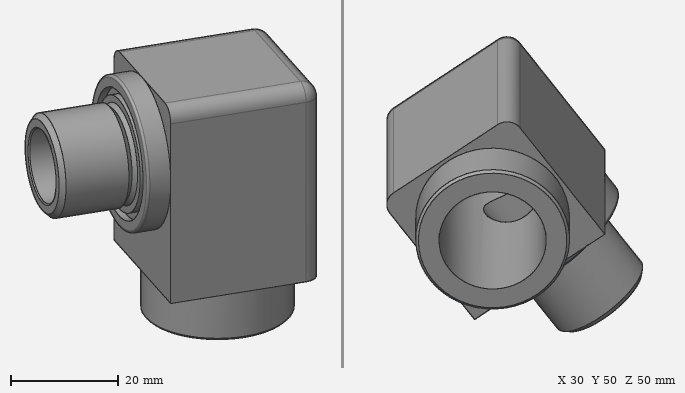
import cadquery as cq

width = 30.0
depth = 30.0
height = 40.0
edge_radius = 3.0
port_height = height - width / 2

collar_radius = width / 2
collar_length = 4.65
collar_edge_radius = 0.5
groove_outer_radius = 12.7
groove_inner_radius = 11.2
groove_depth = 1.5
groove_floor = collar_length - groove_depth
spigot_radius = 10.0
spigot_reach = 20.0
spigot_chamfer = 1.0
neck_radius = 9.0
neck_flare_radius = 9.8
neck_position = collar_length + neck_flare_radius - neck_radius
spigot_start = neck_position + spigot_radius - neck_radius

port_radius = 7.15
port_mouth_radius = 7.4
port_mouth_chamfer = port_mouth_radius - port_radius
socket_radius = 10.0
socket_roof = 35.0

skirt_radius = 14.35
skirt_length = 10.0
skirt_chamfer = 0.5


def make_body():
    """Block with rounded top and back edges; the front and bottom outlines stay sharp."""
    block = cq.Workplane("XY").box(width, depth, height, centered=(True, False, False))
    side_edges = block.edges("(|Y and >Z) or (|X and >Z and >Y) or (|Z and >Y)")
    return side_edges.fillet(edge_radius)


def revolve_about_port(profile):
    """Revolve (radius, distance in front of the body) points about the front port axis."""
    ring = cq.Workplane("XY").polyline(profile).close().revolve(360, (0, 0), (0, 1))
    return ring.rotate((0, 0, 0), (1, 0, 0), 180).translate((0, 0, port_height))


def make_port():
    """Collar with a groove in its face; 45 degree slopes form the neck behind the spigot."""
    collar_plane = cq.Workplane("XZ", origin=(0, 0, port_height))
    collar = collar_plane.circle(collar_radius).extrude(collar_length)
    collar = collar.faces("<Y").edges().fillet(collar_edge_radius)
    recess = collar_plane.workplane(offset=groove_floor).circle(groove_outer_radius)
    recess = recess.extrude(collar_length - groove_floor)
    spigot_profile = [
        (0, 0),
        (groove_inner_radius, 0),
        (groove_inner_radius, collar_length),
        (neck_flare_radius, collar_length),
        (neck_radius, neck_position),
        (spigot_radius, spigot_start),
        (spigot_radius, spigot_reach - spigot_chamfer),
        (spigot_radius - spigot_chamfer, spigot_reach),
        (0, spigot_reach),
    ]
    return collar.cut(recess).union(revolve_about_port(spigot_profile))


def make_skirt():
    skirt = cq.Workplane("XY").center(0, depth / 2).circle(skirt_radius).extrude(-skirt_length)
    return skirt.faces("<Z").chamfer(skirt_chamfer)


def make_socket():
    """Vertical bore that opens at the bottom of the skirt."""
    base = cq.Workplane("XY", origin=(0, depth / 2, -skirt_length))
    return base.circle(socket_radius).extrude(skirt_length + socket_roof)


def make_port_bore():
    """Horizontal bore, with a chamfered mouth, that runs into the socket."""
    mouth = cq.Workplane("XZ", origin=(0, -spigot_reach, port_height))
    bore = mouth.circle(port_radius).extrude(-(spigot_reach + depth / 2))
    countersink = mouth.circle(port_mouth_radius).workplane(offset=-port_mouth_chamfer)
    return bore.union(countersink.circle(port_radius).loft())


solid = make_body().union(make_port()).union(make_skirt())
result = solid.cut(make_socket()).cut(make_port_bore())